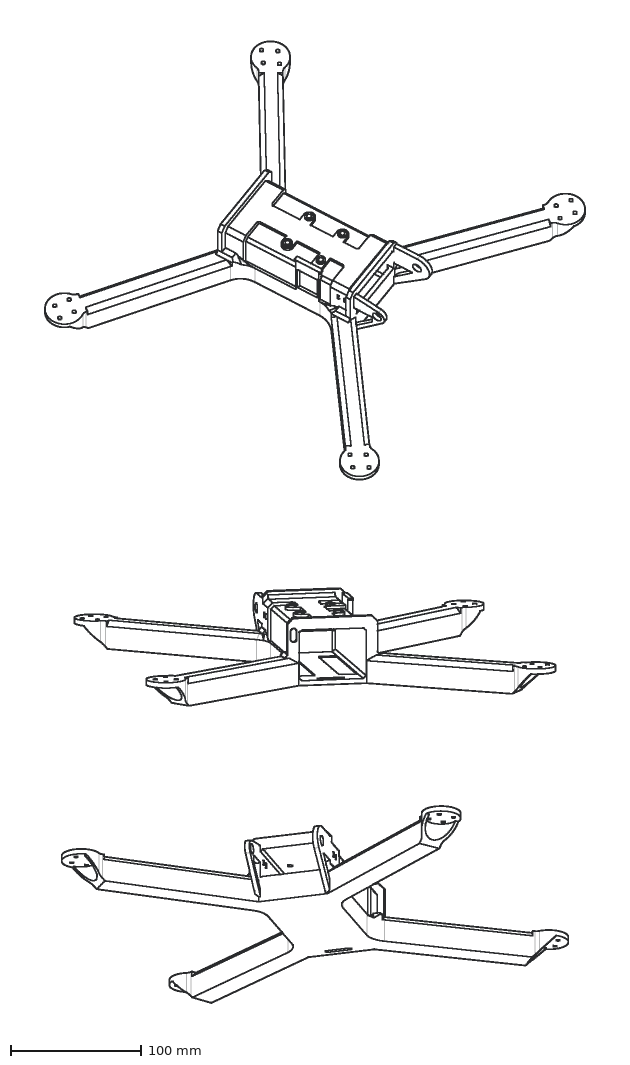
import cadquery as cq
import math

motor_x = 134.88
motor_y = 145.0
motor_pad_radius = 15.0
motor_pad_thickness = 4.0
motor_pad_fillet = 4.8
motor_hollow_radius = 12.0
motor_hole_diameter = 3.0
motor_hole_long_radius = 9.5
motor_hole_short_radius = 8.0
motor_hole_turn = 45.0
arm_width = 18.5
arm_height = 21.8
arm_chamfer = 4.0
arm_start = 6.5
arm_stub_end = 15.5
undercut_start = 16.0
arm_length = 160.0
front_arm_angle = 56.0
rear_arm_angle = 52.0
arm_root_fillet = 20.0

front_x = -66.2
rear_x = 55.0
body_half_width = 30.0
deck_z = 47.0
wall = 4.0
body_chamfer = 4.0
cavity_corner_chamfer = 2.0
cavity_floor_chamfer = 2.2
cavity_half_width = body_half_width - wall
cavity_top_z = deck_z - wall
rear_wall_top_z = 20.5

flange_thickness = 4.0
flange_half_width = 35.2
flange_top_z = 52.5
flange_chamfer = 4.0
deck_ramp = 3.0

root_pad_z = 24.3
root_pad_chamfer = 2.5
root_pad_half_width = 37.8
rear_left_pad_half_width = 33.0
root_pad_length = 13.5
root_pad_ramp = 7.0

recess_front_x = -46.0
recess_rear_x = 33.3
recess_inner_y = 9.3
recess_depth = 2.2
recess_chamfer = 2.5
recess_end_run = 1.0
recess_corner_radius = 2.2
recess_bottom_z = arm_height - arm_chamfer
floor_recess_depth = 1.0

post_pitch = 30.5
post_head_radius = 4.8
post_collar_diameter = 7.0
post_collar_height = 1.3
post_hole_diameter = 4.0

plate_front_x = 2.0
plate_rear_x = 23.0
plate_top_z = 54.5
plate_lip = 1.3
plate_lip_height = 1.5
plate_window_border = 1.5
plate_window_bottom_z = 21.0
plate_window_top_z = 43.5
plate_window_depth = 2.0
plate_window_taper = 25.0

hook_x = 76.0
hook_z = 35.5
hook_hole_diameter = 7.7
hook_window_x = 71.7
hook_strut_offset = 45.5
hook_thickness = wall

tie_slot_positions = (40.5, 46.7)
tie_slot_width = 1.5
tie_slot_height = 4.0
tie_slot_z = 35.2
floor_slot_x = -59.2
floor_slot_length = 21.0
floor_slot_width = 3.5
flange_pocket_y = 30.5
flange_pocket_z = 39.5
flange_pocket_width = 4.8
flange_pocket_height = 10.5
flange_pocket_depth = 2.5

clearance = 16.0
reach = 0.3


def block(x0, x1, y0, y1, z0, z1):
    return cq.Workplane("XY").box(x1 - x0, y1 - y0, z1 - z0, centered=False).translate((x0, y0, z0))


def prism_x(points, x0, x1):
    """Extrude a closed outline of (y, z) points from x0 to x1."""
    return cq.Workplane("YZ").polyline(points).close().extrude(x1 - x0).translate((x0, 0, 0))


def prism_y(points, y0, y1):
    """Extrude a closed outline of (x, z) points from y0 to y1."""
    return cq.Workplane("XZ").polyline(points).close().extrude(y0 - y1).translate((0, y0, 0))


def roofed_prism(y_left, y_right, z0, z1, chamfer, x0, x1):
    """Block along X whose two upper edges are cut at 45 degrees."""
    outline = [
        (y_left, z0),
        (y_right, z0),
        (y_right, z1 - chamfer),
        (y_right - chamfer, z1),
        (y_left + chamfer, z1),
        (y_left, z1 - chamfer),
    ]
    return prism_x(outline, x0, x1)


def arm_frames():
    """Motor position and direction from the motor towards the body, for the four arms."""
    for end, angle in ((-1, front_arm_angle), (1, rear_arm_angle)):
        for side in (-1, 1):
            inward_angle = math.degrees(
                math.atan2(-side * math.sin(math.radians(angle)), -end * math.cos(math.radians(angle)))
            )
            yield end * motor_x, side * motor_y, inward_angle


def place_on_arm(solid, frame):
    x, y, inward_angle = frame
    return solid.rotate((0, 0, 0), (0, 0, 1), inward_angle).translate((x, y, 0))


def frame_plan(height):
    """Body footprint with the four arms and their rounded roots, before chamfering."""
    plan = block(front_x, rear_x, -body_half_width, body_half_width, 0, height)
    arm_bar = block(arm_start, arm_length, -arm_width / 2, arm_width / 2, 0, height)
    for frame in arm_frames():
        plan = plan.union(place_on_arm(arm_bar, frame))
    root_box_front = front_x + flange_thickness
    root_box_rear = rear_x - flange_thickness
    roots = cq.selectors.BoxSelector(
        (root_box_front, -body_half_width - reach, 0),
        (root_box_rear, -body_half_width + reach, height),
    ) + cq.selectors.BoxSelector(
        (root_box_front, body_half_width - reach, 0),
        (root_box_rear, body_half_width + reach, height),
    )
    return plan.edges("|Z").edges(roots).fillet(arm_root_fillet)


def motor_mount():
    """Full-height motor cylinder blended into a short square stub of the arm."""
    stub = block(0, arm_stub_end, -arm_width / 2, arm_width / 2, 0, arm_height)
    mount = cq.Workplane("XY").circle(motor_pad_radius).extrude(arm_height).union(stub)
    corner_x = math.sqrt(motor_pad_radius ** 2 - (arm_width / 2) ** 2)
    corners = cq.selectors.BoxSelector(
        (corner_x - reach, -arm_width, 0), (corner_x + reach, arm_width, arm_height)
    )
    return mount.edges("|Z").edges(corners).fillet(motor_pad_fillet)


def motor_undercut():
    """45-degree undercut below the motor pad, plus the round hollow that reaches up to the pad."""
    pad_bottom_z = arm_height - motor_pad_thickness
    outer_reach = motor_pad_radius + clearance
    outline = [
        (undercut_start, 0),
        (undercut_start - pad_bottom_z, pad_bottom_z),
        (-outer_reach, pad_bottom_z),
        (-outer_reach, -clearance),
        (undercut_start, -clearance),
    ]
    hollow = cq.Workplane("XY").circle(motor_hollow_radius).extrude(pad_bottom_z)
    return prism_y(outline, -outer_reach, outer_reach).union(hollow)


def motor_holes():
    """Two opposite hole pairs, turned away from the arm."""
    holes = cq.Workplane("XY").pushPoints([
        (motor_hole_long_radius, 0),
        (-motor_hole_long_radius, 0),
        (0, motor_hole_short_radius),
        (0, -motor_hole_short_radius),
    ]).circle(motor_hole_diameter / 2).extrude(arm_height)
    return holes.rotate((0, 0, 0), (0, 0, 1), motor_hole_turn)


def arm_frame():
    frame_solid = frame_plan(arm_height).faces(">Z").edges().chamfer(arm_chamfer)
    mount = motor_mount()
    openings = motor_undercut().union(motor_holes())
    for frame in arm_frames():
        frame_solid = frame_solid.union(place_on_arm(mount, frame)).cut(place_on_arm(openings, frame))
    return frame_solid


def root_pads():
    """Low pads along the arm roots, ramping down towards the middle of the body."""
    footprint = frame_plan(root_pad_z)
    pads = []
    for end_x, inward in ((front_x, 1), (rear_x, -1)):
        flat_end = end_x + inward * root_pad_length
        outline = [
            (end_x, recess_bottom_z),
            (end_x, root_pad_z),
            (flat_end, root_pad_z),
            (flat_end + inward * root_pad_ramp, recess_bottom_z),
        ]
        left_reach = root_pad_half_width if end_x == front_x else rear_left_pad_half_width
        sloped = prism_y(outline, -root_pad_half_width, left_reach)
        sides = roofed_prism(-root_pad_half_width, left_reach, 0, root_pad_z,
                             root_pad_chamfer, front_x, rear_x)
        pads.append(sloped.intersect(sides).intersect(footprint))
    return pads[0].union(pads[1])


def end_flanges():
    front = roofed_prism(-flange_half_width, flange_half_width, recess_bottom_z, flange_top_z,
                         flange_chamfer, front_x, front_x + flange_thickness)
    rear = roofed_prism(-flange_half_width, body_half_width, recess_bottom_z, flange_top_z,
                        flange_chamfer, rear_x - flange_thickness, rear_x)
    ramp_x = rear_x - flange_thickness
    ramp = prism_y([(ramp_x - deck_ramp, deck_z), (ramp_x, deck_z), (ramp_x, deck_z + deck_ramp)],
                   -cavity_half_width, cavity_half_width)
    return front.union(rear).union(ramp)


def post_centers():
    for x in (-post_pitch / 2, post_pitch / 2):
        for y in (-post_pitch / 2, post_pitch / 2):
            yield x, y


def post_tongue(x, y):
    """Full-height land with a round head, reaching from the middle of the deck to a post."""
    head = cq.Workplane("XY").center(x, y).circle(post_head_radius).extrude(deck_z)
    neck = block(x - post_head_radius, x + post_head_radius, min(y, 0), max(y, 0), 0, deck_z)
    return head.union(neck)


def shell_outline(half_width, top_z, chamfer, x):
    """Closed shell section in the plane at x."""
    return cq.Wire.makePolygon([
        (x, -half_width, 0),
        (x, half_width, 0),
        (x, half_width, top_z - chamfer),
        (x, half_width - chamfer, top_z),
        (x, -half_width + chamfer, top_z),
        (x, -half_width, top_z - chamfer),
    ], close=True)


def recess_end_slope(end_x, inner_x):
    """Sloped land that grows from the recessed section to the full shell section."""
    outer = shell_outline(body_half_width, deck_z, body_chamfer, end_x)
    inner = shell_outline(body_half_width - recess_depth, deck_z - recess_depth, recess_chamfer, inner_x)
    return cq.Workplane(cq.Solid.makeLoft([outer, inner], True))


def recess(side):
    """Cutter for one shallow recess that wraps from the deck down the side wall."""
    cutter = block(recess_front_x, recess_rear_x, recess_inner_y, body_half_width, recess_bottom_z, deck_z)
    cutter = cutter.edges("|Z").edges("<Y").fillet(recess_corner_radius)
    if side < 0:
        cutter = cutter.mirror("XZ")
    inset_half_width = body_half_width - recess_depth
    core = roofed_prism(-inset_half_width, inset_half_width, 0, deck_z - recess_depth,
                        recess_chamfer, front_x, rear_x)
    cutter = cutter.cut(core)
    for end_x, inner_x in (
        (recess_front_x, recess_front_x + recess_end_run),
        (recess_rear_x, recess_rear_x - recess_end_run),
    ):
        cutter = cutter.cut(recess_end_slope(end_x, inner_x))
    for x, y in post_centers():
        if y * side > 0:
            cutter = cutter.cut(post_tongue(x, y))
    return cutter


def plate():
    """Upright plate with a lip, tied to its neighbouring post by a land across the recess."""
    inner_y = -cavity_half_width
    outer_y = -body_half_width
    upright = block(plate_front_x, plate_rear_x, outer_y, inner_y, recess_bottom_z, plate_top_z)
    lip = block(plate_front_x - plate_lip, plate_rear_x + plate_lip, outer_y, inner_y,
                plate_top_z - plate_lip_height, plate_top_z)
    land_x = post_pitch / 2
    land = block(land_x - post_head_radius, land_x + post_head_radius, inner_y, -post_pitch / 2,
                 cavity_top_z, deck_z)
    return upright.union(lip).union(land)


def plate_window():
    """Shallow rectangular window whose sides slope inwards."""
    x0 = plate_front_x + plate_window_border
    x1 = plate_rear_x - plate_window_border
    height = plate_window_top_z - plate_window_bottom_z
    middle_z = (plate_window_top_z + plate_window_bottom_z) / 2
    window = cq.Workplane("XZ").center((x0 + x1) / 2, middle_z).rect(x1 - x0, height)
    window = window.extrude(-plate_window_depth, taper=plate_window_taper)
    return window.translate((0, -body_half_width, 0))


def cavity():
    """Tunnel through the body, closed at the rear by a low wall."""
    inner_rear_x = rear_x - flange_thickness
    tunnel = roofed_prism(-cavity_half_width, cavity_half_width, wall, cavity_top_z,
                          cavity_corner_chamfer, front_x, inner_rear_x)
    tunnel = tunnel.faces("<Z").edges("|X").chamfer(cavity_floor_chamfer)
    for side in (-1, 1):
        corner = cq.Workplane("XY").polyline([
            (inner_rear_x, side * cavity_half_width),
            (inner_rear_x - cavity_floor_chamfer, side * cavity_half_width),
            (inner_rear_x, side * (cavity_half_width - cavity_floor_chamfer)),
        ]).close().extrude(rear_wall_top_z)
        tunnel = tunnel.cut(corner)
    rear_opening = roofed_prism(-cavity_half_width, cavity_half_width, rear_wall_top_z, cavity_top_z,
                                cavity_corner_chamfer, inner_rear_x, rear_x)
    return tunnel.union(rear_opening)


def floor_recesses():
    outer_y = cavity_half_width - cavity_floor_chamfer
    one = block(recess_front_x, recess_rear_x, recess_inner_y, outer_y, wall - floor_recess_depth, wall)
    one = one.edges("|Z").fillet(recess_corner_radius)
    return one.union(one.mirror("XZ"))


def tangent_point(px, pz, radius, turn):
    """Point where a line from (px, pz) touches the hook circle; turn picks the side."""
    dx = px - hook_x
    dz = pz - hook_z
    angle = math.atan2(dz, dx) + turn * math.acos(radius / math.hypot(dx, dz))
    return hook_x + radius * math.cos(angle), hook_z + radius * math.sin(angle)


def tail_hook(y0, radius, top_z, bar_bottom_z, foot_z):
    """Eye held by an upper bar and a slanting strut."""
    upper = tangent_point(rear_x, top_z, radius, -1)
    lower = tangent_point(rear_x, foot_z, radius, 1)
    hook = (
        cq.Workplane("XZ")
        .moveTo(rear_x, top_z)
        .lineTo(*upper)
        .threePointArc((hook_x + radius, hook_z), lower)
        .lineTo(rear_x, foot_z)
        .close()
        .extrude(-hook_thickness)
        .translate((0, y0, 0))
    )
    window_outline = [
        (rear_x, bar_bottom_z),
        (hook_window_x, bar_bottom_z),
        (hook_window_x, hook_window_x - hook_strut_offset),
        (rear_x, rear_x - hook_strut_offset),
    ]
    eye = cq.Workplane("XZ").center(hook_x, hook_z).circle(hook_hole_diameter / 2)
    eye = eye.extrude(-hook_thickness).translate((0, y0, 0))
    return hook.cut(prism_y(window_outline, y0, y0 + hook_thickness)).cut(eye)


def tie_slots():
    """Upright slots through both side walls."""
    centers = [(x, tie_slot_z) for x in tie_slot_positions]
    slots = cq.Workplane("XZ").pushPoints(centers).rect(tie_slot_width, tie_slot_height)
    return slots.extrude(body_half_width, both=True)


def post_cylinders(diameter):
    """Upright cylinders at the four posts, from the cavity roof to the top of the collars."""
    circles = cq.Workplane("XY").pushPoints(list(post_centers())).circle(diameter / 2)
    return circles.extrude(wall + post_collar_height).translate((0, 0, cavity_top_z))


def floor_slot():
    slot = cq.Workplane("XY").center(floor_slot_x, 0).slot2D(floor_slot_length, floor_slot_width, 90)
    return slot.extrude(wall)


def flange_pocket():
    """Blind upright slot in the outer face of the front flange."""
    pocket = cq.Workplane("YZ").center(flange_pocket_y, flange_pocket_z)
    pocket = pocket.slot2D(flange_pocket_height, flange_pocket_width, 90).extrude(flange_pocket_depth)
    return pocket.translate((front_x, 0, 0))


shell = roofed_prism(-body_half_width, body_half_width, 0, deck_z, body_chamfer, front_x, rear_x)
result = arm_frame().union(shell)
for recess_side in (-1, 1):
    result = result.cut(recess(recess_side))

result = result.union(root_pads()).union(end_flanges()).union(plate())
result = result.union(post_cylinders(post_collar_diameter))

result = result.cut(cavity()).cut(floor_recesses()).cut(plate_window())
result = result.cut(post_cylinders(post_hole_diameter)).cut(tie_slots())
result = result.cut(floor_slot()).cut(flange_pocket())

near_hook = tail_hook(-body_half_width, radius=6.7, top_z=46.0, bar_bottom_z=32.0, foot_z=4.0)
far_hook = tail_hook(cavity_half_width, radius=11.5, top_z=deck_z, bar_bottom_z=27.0, foot_z=0.5)
result = result.union(near_hook).union(far_hook)